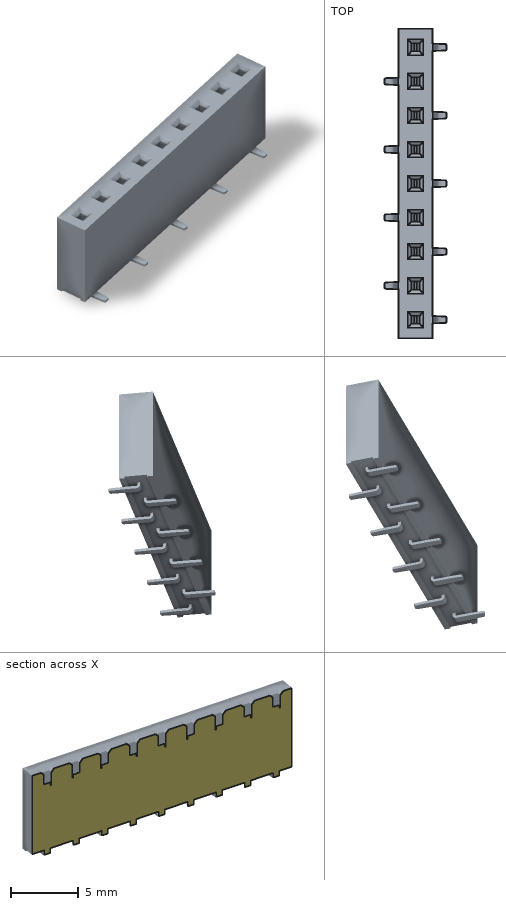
import cadquery as cq

housing_width = 2.55
housing_length = 23.05
total_height = 7.4
standoff = 0.35
housing_height = total_height - standoff
channel_width = 1.7
channel_depth = 0.14

contact_count = 9
pitch = 2.54

mouth_size = 1.18
bore_size = 0.62
funnel_depth = (mouth_size - bore_size) / 2
bore_depth = 1.38

strip_thickness = 0.2
strip_width = 0.58
tip_width = 0.48
foot_reach = 4.64 / 2
taper_start = 1.2
tip_radius = 0.14
inner_bend_radius = 0.1
outer_bend_radius = inner_bend_radius + strip_thickness
blade_rise = 0.28
blade_top = total_height - bore_depth + blade_rise


def make_housing():
    """Block with a shallow channel along its underside."""
    block = (
        cq.Workplane("XY")
        .workplane(offset=standoff)
        .rect(housing_width, housing_length)
        .extrude(housing_height)
    )
    channel = (
        cq.Workplane("XY")
        .workplane(offset=standoff)
        .rect(channel_width, housing_length)
        .extrude(channel_depth)
    )
    return block.cut(channel)


def make_socket():
    """Tapered mouth leading into a blind square bore."""
    funnel = (
        cq.Workplane("XY")
        .workplane(offset=total_height)
        .rect(mouth_size, mouth_size)
        .workplane(offset=-funnel_depth)
        .rect(bore_size, bore_size)
        .loft(ruled=True)
    )
    bore = (
        cq.Workplane("XY")
        .workplane(offset=total_height - bore_depth)
        .rect(bore_size, bore_size)
        .extrude(bore_depth - funnel_depth)
    )
    return funnel.union(bore)


def make_contact():
    """Contact on the row's centre line with its foot pointing to +X."""
    half_thickness = strip_thickness / 2
    strip = (
        cq.Workplane("XZ")
        .moveTo(-half_thickness, blade_top)
        .lineTo(-half_thickness, outer_bend_radius)
        .radiusArc((-half_thickness + outer_bend_radius, 0), -outer_bend_radius)
        .lineTo(foot_reach, 0)
        .lineTo(foot_reach, strip_thickness)
        .lineTo(half_thickness + inner_bend_radius, strip_thickness)
        .radiusArc((half_thickness, outer_bend_radius), inner_bend_radius)
        .lineTo(half_thickness, blade_top)
        .close()
        .extrude(strip_width / 2, both=True)
    )
    plan = (
        cq.Workplane("XY")
        .polyline([
            (-half_thickness, -strip_width / 2),
            (taper_start, -strip_width / 2),
            (foot_reach, -tip_width / 2),
            (foot_reach, tip_width / 2),
            (taper_start, strip_width / 2),
            (-half_thickness, strip_width / 2),
        ])
        .close()
        .extrude(total_height)
        .edges("|Z and >X")
        .fillet(tip_radius)
    )
    return strip.intersect(plan)


row = [(i - (contact_count - 1) / 2) * pitch for i in range(contact_count)]
result = make_housing()
for y in row:
    result = result.cut(make_socket().translate((0, y, 0)))

for i, y in enumerate(row):
    foot_angle = 180 * (i % 2)
    contact = make_contact().rotate((0, 0, 0), (0, 0, 1), foot_angle)
    result = result.union(contact.translate((0, y, 0)))